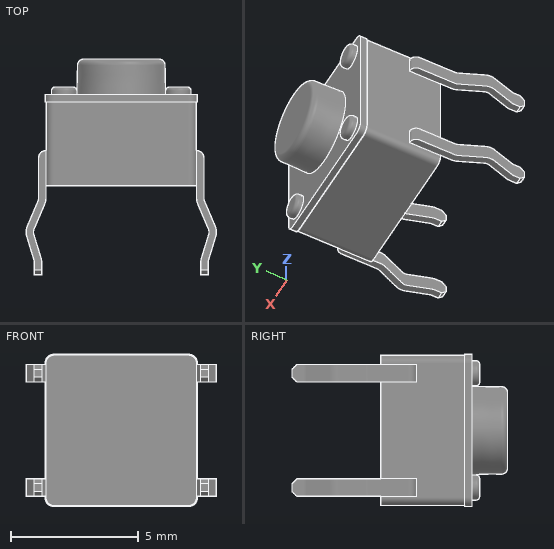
import cadquery as cq
import math


LID_SIZE = 6.0
LID_THICKNESS = 0.3
LID_CORNER_RADIUS = 0.35
BODY_INSET = 0.04
BODY_SIZE = LID_SIZE - 2 * BODY_INSET
BODY_CORNER_RADIUS = LID_CORNER_RADIUS - BODY_INSET
BODY_HEIGHT = 3.3
LID_TOP = BODY_HEIGHT + LID_THICKNESS

BUTTON_RADIUS = 1.75
BUTTON_HEIGHT = 1.4
BUTTON_TAPER = 1.0
BUTTON_FILLET = 0.25

RIVET_RADIUS = 0.5
RIVET_HEIGHT = 0.3
RIVET_FILLET = 0.15
RIVET_OFFSET = 2.25

LEG_THICKNESS = 0.3
LEG_WIDTH = 0.7
LEG_OFFSET_Z = 2.25
LEG_TOP = 1.4
LEG_END = -3.5
LEG_TOP_FILLET = 0.299
LEG_TIP_CHAMFER = 0.2
LEG_BEND_RADIUS = 0.45
LEG_BEND_START = -0.48
LEG_OUT_ANGLE = math.radians(23)
LEG_IN_ANGLE = math.radians(17)
LEG_OUTER_X = 3.75
LEG_TIP_OUTER_X = 3.425

LEG_ROOT_X = (BODY_SIZE + LEG_THICKNESS) / 2
LEG_CREST_X = LEG_OUTER_X - LEG_THICKNESS / 2
LEG_TIP_X = LEG_TIP_OUTER_X - LEG_THICKNESS / 2


def rounded_plate(size, thickness, corner_radius, bottom):
    """Square plate centred on the Y axis with rounded corners."""
    return (
        cq.Workplane("XY")
        .box(size, thickness, size, centered=(True, False, True))
        .edges("|Y")
        .fillet(corner_radius)
        .translate((0, bottom, 0))
    )


def plane_facing_button(x, y, z):
    """Work plane at a point, with its normal along +Y."""
    return cq.Workplane(cq.Plane(origin=(x, y, z), xDir=(1, 0, 0), normal=(0, 1, 0)))


def make_button():
    return (
        plane_facing_button(0, LID_TOP, 0)
        .circle(BUTTON_RADIUS)
        .extrude(BUTTON_HEIGHT, taper=BUTTON_TAPER)
        .faces(">Y")
        .edges()
        .fillet(BUTTON_FILLET)
    )


def make_rivet(x, z):
    return (
        plane_facing_button(x, LID_TOP, z)
        .circle(RIVET_RADIUS)
        .extrude(RIVET_HEIGHT)
        .faces(">Y")
        .edges()
        .fillet(RIVET_FILLET)
    )


def slant(shift, angle):
    """Steps of an S-shaped slant that moves the leg sideways by `shift`.

    Returns the sideways step and the length step of each of its two
    bends, and the length taken by the straight stretch between them.
    """
    bend_shift = LEG_BEND_RADIUS * (1 - math.cos(angle))
    bend_length = LEG_BEND_RADIUS * math.sin(angle)
    straight_length = (shift - 2 * bend_shift) / math.tan(angle)
    return bend_shift, bend_length, straight_length


def leg_centreline():
    out_shift, out_bend, out_straight = slant(LEG_CREST_X - LEG_ROOT_X, LEG_OUT_ANGLE)
    in_shift, in_bend, in_straight = slant(LEG_CREST_X - LEG_TIP_X, LEG_IN_ANGLE)
    crest_y = LEG_BEND_START - 2 * out_bend - out_straight
    tip_bend_end = crest_y - 2 * in_bend - in_straight
    return (
        cq.Workplane("XY")
        .moveTo(LEG_ROOT_X, LEG_TOP)
        .lineTo(LEG_ROOT_X, LEG_BEND_START)
        .tangentArcPoint((LEG_ROOT_X + out_shift, LEG_BEND_START - out_bend), relative=False)
        .lineTo(LEG_CREST_X - out_shift, crest_y + out_bend)
        .tangentArcPoint((LEG_CREST_X, crest_y), relative=False)
        .tangentArcPoint((LEG_CREST_X - in_shift, crest_y - in_bend), relative=False)
        .lineTo(LEG_TIP_X + in_shift, tip_bend_end + in_bend)
        .tangentArcPoint((LEG_TIP_X, tip_bend_end), relative=False)
        .lineTo(LEG_TIP_X, LEG_END)
    )


def make_leg():
    """Leg on the +X side, centred on Z = 0."""
    return (
        plane_facing_button(LEG_ROOT_X, LEG_TOP, 0)
        .rect(LEG_THICKNESS, LEG_WIDTH)
        .sweep(leg_centreline())
        .faces(">Y")
        .edges(">X")
        .fillet(LEG_TOP_FILLET)
        .faces("<Y")
        .edges("|X")
        .chamfer(LEG_TIP_CHAMFER)
    )


body = rounded_plate(BODY_SIZE, BODY_HEIGHT, BODY_CORNER_RADIUS, 0)
lid = rounded_plate(LID_SIZE, LID_THICKNESS, LID_CORNER_RADIUS, BODY_HEIGHT)
result = body.union(lid).union(make_button())

right_leg = make_leg()
left_leg = right_leg.mirror("YZ")
for side_z in (-1, 1):
    for side_x in (-1, 1):
        result = result.union(make_rivet(side_x * RIVET_OFFSET, side_z * RIVET_OFFSET))
    for leg in (left_leg, right_leg):
        result = result.union(leg.translate((0, 0, side_z * LEG_OFFSET_Z)))